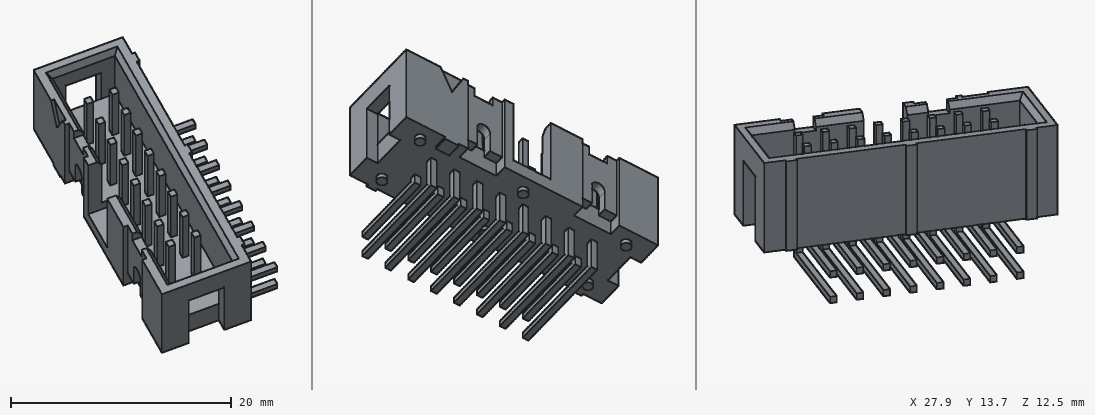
import cadquery as cq


length = 27.9
depth = 8.9
height = 8.9
end_wall = 1.2
side_wall = 1.35
floor_height = 2.5
lead_in_width = 0.45
lead_in_drop = 0.65
mid_depth = depth / 2

pitch = 2.55
column_count = 8
pin_size = 0.65
pin_tip_drop = 0.22
pin_tip = height - pin_tip_drop
leg_end = 13.7
low_leg_bottom = -3.63
first_column_x = -(column_count - 1) / 2 * pitch

window_width = 3.55
window_top = 6.45

key_width = 4.13
key_depth = 2.0
key_bottom = 1.5

recess_centres = (-2 * pitch, 3 * pitch)
recess_width = 4.07
recess_depth = 0.42
notch_width = 2.0
notch_drop = 1.0
keyhole_width = 1.4
keyhole_top = 4.72
undercut_height = 1.67

mark_size = 2.55
mark_depth = 0.3
tab_size = 1.5
tab_height = 0.25

peg_diameter = 1.0
peg_height = 0.5
peg_spacing_x = 11.4
peg_offset_y = 3.0
rib_width = 1.0
rib_depth = 0.28


def block(x_range, y_range, z_range):
    """Axis-aligned box given by its limits along X, Y and Z."""
    (x0, x1), (y0, y1), (z0, z1) = x_range, y_range, z_range
    return cq.Workplane("XY").box(x1 - x0, y1 - y0, z1 - z0, centered=False).translate((x0, y0, z0))


def span(centre, width):
    """Limits of a width placed evenly about a centre."""
    return (centre - width / 2, centre + width / 2)


def make_cavity():
    """Open mating cavity with a sloped lead-in around its mouth."""
    inner_length = length - 2 * end_wall
    inner_depth = depth - 2 * side_wall
    well = block(span(0, inner_length), span(mid_depth, inner_depth), (floor_height, height))
    lead_in = (
        cq.Workplane("XY", origin=(0, mid_depth, height - lead_in_drop))
        .rect(inner_length, inner_depth)
        .workplane(offset=lead_in_drop)
        .rect(inner_length + 2 * lead_in_width, inner_depth + 2 * lead_in_width)
        .loft(ruled=True)
    )
    return well.union(lead_in)


def make_latch_recess(centre_x):
    """Shallow recess with a notch at the rim, and a keyhole above an undercut, cut through the wall."""
    recess = block(span(centre_x, recess_width), (0, recess_depth), (0, height))
    notch = block(span(centre_x, notch_width), (0, side_wall), (height - notch_drop, height))
    undercut = block(span(centre_x, recess_width), (0, side_wall), (0, undercut_height))
    arc_start = keyhole_top - keyhole_width / 2
    keyhole = block(span(centre_x, keyhole_width), (0, side_wall), (0, arc_start))
    keyhole_arch = (
        cq.Workplane("XZ", origin=(centre_x, 0, arc_start))
        .circle(keyhole_width / 2)
        .extrude(-side_wall)
    )
    return recess.union(notch).union(undercut).union(keyhole).union(keyhole_arch)


def make_pin_one_mark():
    """Triangular sinking in the front face that points down at pin 1."""
    return (
        cq.Workplane("XZ")
        .moveTo(first_column_x - mark_size / 2, height)
        .lineTo(first_column_x + mark_size / 2, height)
        .lineTo(first_column_x, height - mark_size)
        .close()
        .extrude(-mark_depth)
    )


def make_pin(centre_x, centre_y, leg_bottom):
    """Square pin bent at a right angle towards +Y."""
    x_range = span(centre_x, pin_size)
    y_range = span(centre_y, pin_size)
    post = block(x_range, y_range, (leg_bottom, pin_tip))
    leg = block(x_range, (y_range[0], leg_end), (leg_bottom, leg_bottom + pin_size))
    return post.union(leg)


result = block(span(0, length), (0, depth), (0, height)).cut(make_cavity())
for inner_x, outer_x in ((-length / 2, end_wall - length / 2), (length / 2 - end_wall, length / 2)):
    result = result.cut(block((inner_x, outer_x), span(mid_depth, window_width), (0, window_top)))
result = result.cut(block(span(0, key_width), (0, key_depth), (key_bottom, height)))
for recess_x in recess_centres:
    result = result.cut(make_latch_recess(recess_x))
result = result.cut(make_pin_one_mark())

result = result.union(block(span(first_column_x, tab_size), (0, tab_size), (-tab_height, 0)))
for peg_x in (-peg_spacing_x, 0, peg_spacing_x):
    result = result.union(block(span(peg_x, rib_width), (depth, depth + rib_depth), (0, height)))
    for peg_y in (mid_depth - peg_offset_y, mid_depth + peg_offset_y):
        peg = cq.Workplane("XY", origin=(peg_x, peg_y, 0)).circle(peg_diameter / 2).extrude(-peg_height)
        result = result.union(peg)

for column in range(column_count):
    pin_x = first_column_x + column * pitch
    result = result.union(make_pin(pin_x, mid_depth - pitch / 2, low_leg_bottom))
    result = result.union(make_pin(pin_x, mid_depth + pitch / 2, low_leg_bottom + pitch))